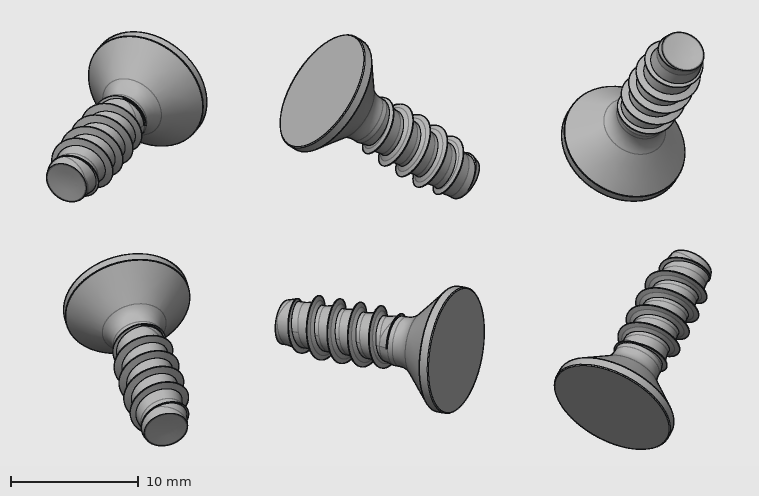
import math

import cadquery as cq


AXIS_START = (0, 0, 0)
AXIS_END = (0, 1, 0)
FULL_TURN = 360

SCREW_LENGTH = 15.0

HEAD_RADIUS = 5.0
HEAD_RIM_HEIGHT = 0.75
HEAD_EDGE_CHAMFER = 0.08
CONE_EDGE_INSET = 0.03
CONE_EDGE_HEIGHT = 0.06
HEAD_HALF_ANGLE = math.radians(45)

NECK_RADIUS = 1.97
NECK_FILLET_RADIUS = 2.0
NECK_END = 5.05

CORE_RADIUS = 1.77
NECK_TAPER_LENGTH = 0.8
TIP_RIM_RADIUS = 1.66
TIP_RADIUS = 1.74
TIP_DISH_DEPTH = 0.15

THREAD_PITCH = 1.8
THREAD_RADIUS = 2.5
CREST_WIDTH = 0.07
HEAD_FLANK_ANGLE = math.radians(60)
KNEE_OFFSET = 0.15
KNEE_RADIUS = 2.12
TIP_FLANK_FOOT = 0.22
RIDGE_RADIUS = 1.96
RIDGE_START = 0.05
RIDGE_END = 1.12
FIRST_CREST = 4.63
THREAD_TURNS = 6
STEPS_PER_TURN = 12

RUN_IN_RADIUS = 2.12
RUN_IN_LENGTH = 1.9
RUN_OUT_LENGTH = 2.7
ENVELOPE_CLEARANCE = 0.01

OVERLAP = 0.15

LIP_THICKNESS = 0.06
LIP_FOOT_THICKNESS = 0.15
LIP_ANGLE = 90


def make_head():
    """Head, neck and the short cone from the neck down into the core."""
    tangent_radius = NECK_RADIUS + NECK_FILLET_RADIUS * (1 - math.cos(HEAD_HALF_ANGLE))
    cone_start_radius = HEAD_RADIUS - CONE_EDGE_INSET
    cone_start = HEAD_RIM_HEIGHT + CONE_EDGE_HEIGHT
    cone_end = cone_start + (cone_start_radius - tangent_radius) / math.tan(HEAD_HALF_ANGLE)
    fillet_end = cone_end + NECK_FILLET_RADIUS * math.sin(HEAD_HALF_ANGLE)
    half_sweep = HEAD_HALF_ANGLE / 2
    fillet_middle = (
        NECK_RADIUS + NECK_FILLET_RADIUS * (1 - math.cos(half_sweep)),
        fillet_end - NECK_FILLET_RADIUS * math.sin(half_sweep),
    )
    taper_slope = (NECK_RADIUS - CORE_RADIUS) / NECK_TAPER_LENGTH
    taper_end = NECK_END + NECK_TAPER_LENGTH + OVERLAP
    return (
        cq.Workplane("XZ")
        .lineTo(HEAD_RADIUS - HEAD_EDGE_CHAMFER, 0)
        .lineTo(HEAD_RADIUS, HEAD_EDGE_CHAMFER)
        .lineTo(HEAD_RADIUS, HEAD_RIM_HEIGHT)
        .lineTo(cone_start_radius, cone_start)
        .lineTo(tangent_radius, cone_end)
        .threePointArc(fillet_middle, (NECK_RADIUS, fillet_end))
        .lineTo(NECK_RADIUS, NECK_END)
        .lineTo(CORE_RADIUS - taper_slope * OVERLAP, taper_end)
        .lineTo(0, taper_end)
        .close()
        .revolve(FULL_TURN, AXIS_START, AXIS_END)
    )


def make_ridged_core():
    """Core cylinder with a low helical ridge that slopes from the tooth toward the tip."""
    root_radius = CORE_RADIUS - OVERLAP
    ridge_slope = (RIDGE_RADIUS - CORE_RADIUS) / (RIDGE_END - RIDGE_START)
    buried_end = RIDGE_END + OVERLAP
    ridge_profile = [
        (root_radius, 0),
        (RIDGE_RADIUS, RIDGE_START),
        (CORE_RADIUS - ridge_slope * OVERLAP, buried_end),
        (root_radius, buried_end),
    ]
    thread_length = THREAD_PITCH * THREAD_TURNS
    helix = cq.Wire.makeHelix(THREAD_PITCH, thread_length, CORE_RADIUS)
    ridge = cq.Workplane("XZ").polyline(ridge_profile).close().sweep(cq.Workplane(helix), isFrenet=True)
    core_start = -THREAD_PITCH
    core_length = thread_length + 2 * THREAD_PITCH
    core = cq.Workplane("XY", origin=(0, 0, core_start)).circle(CORE_RADIUS).extrude(core_length)
    return core.union(ridge).translate((0, 0, FIRST_CREST))


def tooth_sink(crest_z):
    """Distance by which the whole tooth is sunk toward the axis in the run-in and run-out."""
    run_in_slope = (THREAD_RADIUS - RUN_IN_RADIUS) / RUN_IN_LENGTH
    run_out_slope = (THREAD_RADIUS - TIP_RADIUS) / RUN_OUT_LENGTH
    run_in_sink = run_in_slope * (NECK_END + RUN_IN_LENGTH - crest_z)
    run_out_sink = run_out_slope * (crest_z - (SCREW_LENGTH - RUN_OUT_LENGTH))
    return max(0, run_in_sink, run_out_sink)


def tooth_edge(radius, offset):
    """Helical edge of the tooth through one corner of its profile."""
    points = []
    for step in range(THREAD_TURNS * STEPS_PER_TURN + 1):
        turn = step / STEPS_PER_TURN
        crest_z = FIRST_CREST + THREAD_PITCH * turn
        angle = 2 * math.pi * turn
        sunk_radius = radius - tooth_sink(crest_z)
        point = (sunk_radius * math.cos(angle), sunk_radius * math.sin(angle), crest_z + offset)
        points.append(cq.Vector(*point))
    return cq.Edge.makeSpline(points)


def make_tooth():
    """Sharp helical tooth that sinks into the core at both ends without changing its profile."""
    root_radius = CORE_RADIUS - OVERLAP
    flank_run = (KNEE_RADIUS - root_radius) / math.tan(HEAD_FLANK_ANGLE)
    half_crest = CREST_WIDTH / 2
    tip_flank_slope = (TIP_FLANK_FOOT - half_crest) / (THREAD_RADIUS - RIDGE_RADIUS)
    profile = [
        (root_radius, -KNEE_OFFSET - flank_run),
        (KNEE_RADIUS, -KNEE_OFFSET),
        (THREAD_RADIUS, -half_crest),
        (THREAD_RADIUS, half_crest),
        (root_radius, half_crest + tip_flank_slope * (THREAD_RADIUS - root_radius)),
    ]
    edges = [tooth_edge(radius, offset) for radius, offset in profile]
    faces = [cq.Face.makeRuledSurface(edges[i - 1], edges[i]) for i in range(len(edges))]
    for end in (0, 1):
        corners = [edge.positionAt(end) for edge in edges]
        faces.append(cq.Face.makeFromWires(cq.Wire.makePolygon(corners, close=True)))
    return cq.Workplane(cq.Solid.makeSolid(cq.Shell.makeShell(faces)))


def make_envelope():
    """Space the threaded shank may fill: conical at both ends, with a spherical dish in the tip."""
    dish_sphere_radius = (TIP_RIM_RADIUS**2 + TIP_DISH_DEPTH**2) / (2 * TIP_DISH_DEPTH)
    dish_half_sweep = math.asin(TIP_RIM_RADIUS / dish_sphere_radius) / 2
    dish_middle_rise = dish_sphere_radius * (1 - math.cos(dish_half_sweep))
    dish_middle = (
        dish_sphere_radius * math.sin(dish_half_sweep),
        SCREW_LENGTH - TIP_DISH_DEPTH + dish_middle_rise,
    )
    envelope_radius = THREAD_RADIUS + ENVELOPE_CLEARANCE
    return (
        cq.Workplane("XZ")
        .moveTo(0, NECK_END)
        .lineTo(RUN_IN_RADIUS, NECK_END)
        .lineTo(envelope_radius, NECK_END + RUN_IN_LENGTH)
        .lineTo(envelope_radius, SCREW_LENGTH - RUN_OUT_LENGTH)
        .lineTo(TIP_RADIUS, SCREW_LENGTH)
        .lineTo(TIP_RIM_RADIUS, SCREW_LENGTH)
        .threePointArc(dish_middle, (0, SCREW_LENGTH - TIP_DISH_DEPTH))
        .close()
        .revolve(FULL_TURN, AXIS_START, AXIS_END)
    )


def make_lip():
    """Quarter ring under the neck, ending where the helical tooth takes over."""
    return (
        cq.Workplane("XZ")
        .moveTo(CORE_RADIUS - OVERLAP, NECK_END)
        .lineTo(RUN_IN_RADIUS, NECK_END)
        .lineTo(RUN_IN_RADIUS, NECK_END + LIP_THICKNESS)
        .lineTo(CORE_RADIUS - OVERLAP, NECK_END + LIP_FOOT_THICKNESS)
        .close()
        .revolve(LIP_ANGLE, AXIS_START, AXIS_END)
    )


threaded_bar = make_ridged_core().union(make_tooth(), clean=False)
shank = threaded_bar.intersect(make_envelope(), clean=False)
screw = make_head().union(shank, clean=False).union(make_lip(), clean=False)
result = screw.rotate((0, 0, 0), (1, 0, 0), 90).solids()